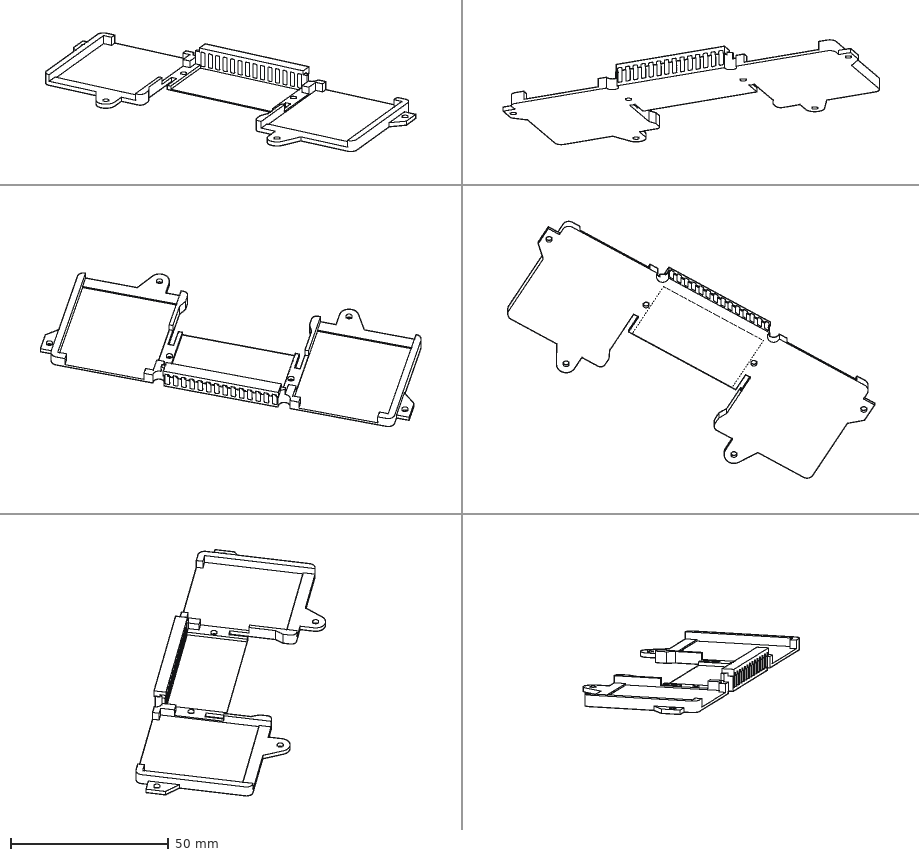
import cadquery as cq
import math

half_length = 60.5
front_reach = -7.6
back_reach = 38.6
top_z = 7.3

sheet = 1.5
tray_floor = 1.0
wall_top = 3.8
wall = 2.2
corner_radius = wall
tray_outer_x = -56.4
tray_back_y = 37.9
pocket_outer_x = tray_outer_x + wall
pocket_inner_x = -22.9
pocket_front_y = 3.9
pocket_back_y = tray_back_y - wall
outer_tab_end_x = -51.3
inner_tab_end_x = -25.4

thin_wall_x = -21.7
block_inner_x = -20.3
block_front_y = 31.2
foot_radius = 1.7
foot_top_y = 4.1
flare_top_y = 6.8
slot_back_y = 21.5

hole_diameter = 1.9
ear_hole = (-58.3, 30.4)
ear_back_y = 33.5
ear_straight_end_y = 27.2
ear_front_y = 23.5
lug_radius = 3.1
lug_center = (-31.1, front_reach + lug_radius)
lug_root_x = -37.3
rail_hole = (-20.0, 26.4)

bridge_floor = 0.4
bridge_half = 19.8
rail_inner_x = -18.5
bridge_front_y = 15.4

lip_half = 18.9
grille_front_y = 34.7
grille_wall_back_y = 38.2
lip_bottom_z = 5.0
cheek_top = 5.9
notch_center = (-20.6, 37.6)
notch_radius = 1.9
vent_count = 14
vent_span = 35.2
vent_pitch = vent_span / (vent_count - 1)
vent_width = 1.5
vent_bottom = 1.1
vent_top = 5.9
vent_corner = 0.4


def box(x0, x1, y0, y1, z0, z1):
    """Axis-aligned block between two opposite corners."""
    return cq.Workplane("XY").box(x1 - x0, y1 - y0, z1 - z0, centered=False).translate((x0, y0, z0))


def tray_body():
    """Tray block with a flared foot and rounded corners, at full wall height."""
    body = (
        cq.Workplane("XY")
        .moveTo(tray_outer_x, 0)
        .lineTo(block_inner_x, 0)
        .lineTo(block_inner_x, foot_top_y)
        .lineTo(thin_wall_x, flare_top_y)
        .lineTo(thin_wall_x, block_front_y)
        .lineTo(block_inner_x, block_front_y)
        .lineTo(block_inner_x, tray_back_y)
        .lineTo(tray_outer_x, tray_back_y)
        .close()
        .extrude(wall_top)
    )
    body = body.edges("|Z and <X").fillet(corner_radius)
    return body.edges(cq.selectors.NearestToPointSelector((block_inner_x, 0, wall_top / 2))).fillet(foot_radius)


def hollow_tray():
    """Tray with its pocket sunk, its front and back opened and its inner wall interrupted."""
    tray = tray_body()
    tray = tray.cut(box(pocket_outer_x, pocket_inner_x, pocket_front_y, pocket_back_y, tray_floor, wall_top))
    tray = tray.cut(box(pocket_outer_x, pocket_inner_x, 0, pocket_front_y, sheet, wall_top))
    tray = tray.cut(box(outer_tab_end_x, inner_tab_end_x, pocket_back_y, tray_back_y, tray_floor, wall_top))
    return tray.cut(box(pocket_inner_x, thin_wall_x, bridge_front_y, block_front_y, sheet, wall_top))


def ear():
    """Outer lug with one slanted edge."""
    return (
        cq.Workplane("XY")
        .moveTo(tray_outer_x, ear_back_y)
        .lineTo(-half_length, ear_back_y)
        .lineTo(-half_length, ear_straight_end_y)
        .lineTo(tray_outer_x, ear_front_y)
        .close()
        .extrude(sheet)
    )


def front_lug():
    """Front lug: round tip, one straight side and one slanted side tangent to the tip."""
    center_x, center_y = lug_center
    root_distance = math.hypot(lug_root_x - center_x, center_y)
    root_angle = math.atan2(-center_y, lug_root_x - center_x)
    tangent_angle = root_angle + math.acos(lug_radius / root_distance)
    tangent_point = (
        center_x + lug_radius * math.cos(tangent_angle),
        center_y + lug_radius * math.sin(tangent_angle),
    )
    straight_x = center_x + lug_radius
    return (
        cq.Workplane("XY")
        .moveTo(lug_root_x, 0)
        .lineTo(*tangent_point)
        .threePointArc((center_x, front_reach), (straight_x, center_y))
        .lineTo(straight_x, 0)
        .close()
        .extrude(sheet)
    )


def side():
    """Everything on the -X side: tray, lugs, rail and cheek."""
    part = hollow_tray().union(ear()).union(front_lug())
    part = part.union(box(pocket_inner_x, rail_inner_x, slot_back_y, tray_back_y, 0, sheet))
    part = part.union(box(-bridge_half, rail_inner_x, bridge_front_y, slot_back_y, 0, sheet))
    part = part.union(box(block_inner_x, rail_inner_x, grille_front_y, grille_wall_back_y, 0, cheek_top))
    holes = cq.Workplane("XY").pushPoints([ear_hole, lug_center, rail_hole]).circle(hole_diameter / 2)
    notch = cq.Workplane("XY").center(*notch_center).circle(notch_radius)
    return part.cut(holes.extrude(sheet)).cut(notch.extrude(cheek_top))


def grille():
    """Upright grille with a lip overhanging its back and ends, and a row of through vents."""
    body = box(rail_inner_x, -rail_inner_x, grille_front_y, grille_wall_back_y, 0, top_z)
    body = body.union(box(-lip_half, lip_half, grille_front_y, back_reach, lip_bottom_z, top_z))
    depth = back_reach - grille_front_y
    vents = (
        cq.Workplane("XY")
        .rarray(vent_pitch, 1.2, vent_count, 1)
        .box(vent_width, depth, vent_top - vent_bottom, centered=(True, False, False))
        .edges("|Y")
        .fillet(vent_corner)
        .translate((0, grille_front_y, vent_bottom))
    )
    return body.cut(vents)


left = side()
bridge = box(rail_inner_x, -rail_inner_x, bridge_front_y, grille_front_y, 0, bridge_floor)
result = left.union(left.mirror("YZ")).union(bridge).union(grille())